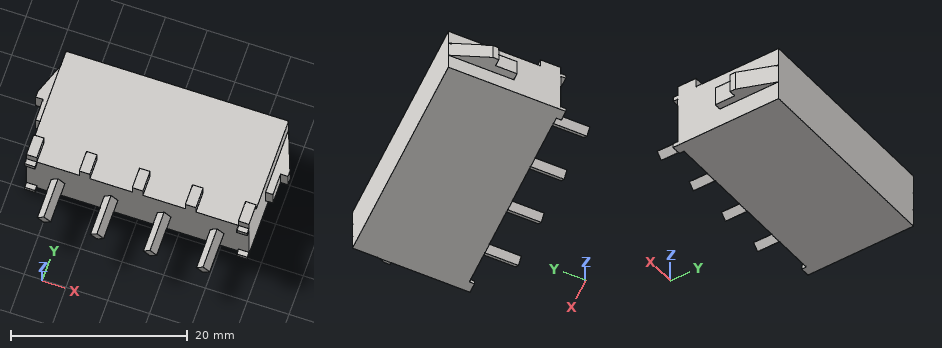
import cadquery as cq

pin_count = 4
pin_pitch = 6.35
pin_diagonal = 1.63
pin_length = 4.95

ridge_count = pin_count + 1
ridge_width = 1.27
ridge_height = 1.27
ridge_depth = 2.55

body_length = pin_count * pin_pitch + ridge_width
body_depth = 13.97
body_height = 7.62
mid_height = body_height / 2

foot_width = ridge_width
foot_height = 0.63
foot_depth = 0.63

overall_length = 30.23
catch_reach = (overall_length - body_length) / 2
catch_height = 2.55
catch_ramp_depth = 4.75
catch_lip_depth = 5.47
catch_stem_depth = 8.13
catch_stem_reach = catch_reach / 2


def row_positions(count):
    """X positions of evenly pitched items centred on the housing."""
    first = -(count - 1) * pin_pitch / 2
    return [first + index * pin_pitch for index in range(count)]


def make_body():
    return cq.Workplane("XY").box(body_length, body_depth, body_height, centered=(True, False, False))


def make_ridges():
    ridge = cq.Workplane("XY").box(
        ridge_width, ridge_depth, body_height + ridge_height, centered=(True, False, False)
    )
    ridges = cq.Workplane("XY")
    for x in row_positions(ridge_count):
        ridges = ridges.add(ridge.translate((x, 0, 0)))
    return ridges.combine()


def make_feet():
    """Four feet flush with the ends, top and underside of the housing."""
    return (
        cq.Workplane("XZ", origin=(0, 0, mid_height))
        .rect(body_length - foot_width, body_height - foot_height, forConstruction=True)
        .vertices()
        .rect(foot_width, foot_height)
        .extrude(foot_depth)
    )


def make_pins():
    """Square pins standing on edge, so their diagonals are level and upright."""
    return (
        cq.Workplane("XZ", origin=(0, 0, mid_height))
        .pushPoints([(x, 0) for x in row_positions(pin_count)])
        .polygon(4, pin_diagonal)
        .extrude(pin_length)
    )


def make_catch():
    """Catch on the +X end: a ramp from the back face, a lip and a thinner stem."""
    face_x = body_length / 2
    tip_x = face_x + catch_reach
    stem_x = face_x + catch_stem_reach
    ramp_y = body_depth - catch_ramp_depth
    lip_y = body_depth - catch_lip_depth
    stem_y = body_depth - catch_stem_depth
    return (
        cq.Workplane("XY", origin=(0, 0, mid_height))
        .moveTo(face_x, body_depth)
        .lineTo(tip_x, ramp_y)
        .lineTo(tip_x, lip_y)
        .lineTo(stem_x, lip_y)
        .lineTo(stem_x, stem_y)
        .lineTo(face_x, stem_y)
        .close()
        .extrude(catch_height / 2, both=True)
    )


catch = make_catch()
result = (
    make_body()
    .union(make_ridges())
    .union(make_feet())
    .union(make_pins())
    .union(catch)
    .union(catch.mirror("YZ"))
)